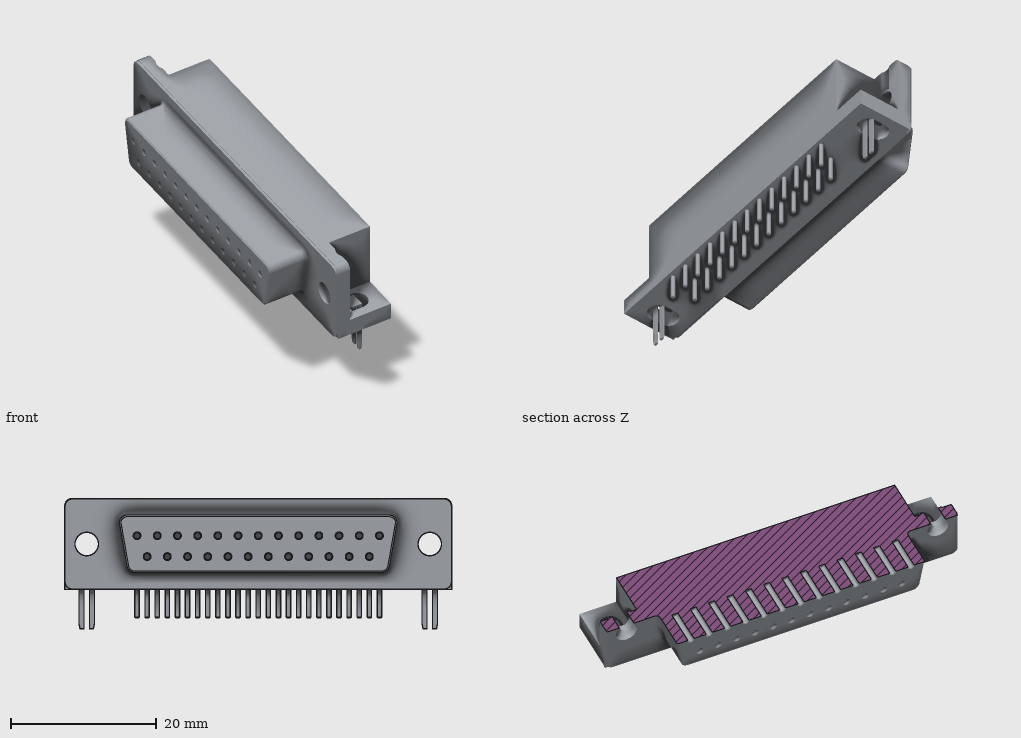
import cadquery as cq
import math

LENGTH = 53.1
HEIGHT = 12.5
FLANGE_DEPTH = 2.3
PLATE_DEPTH = 0.35
PLATE_INSET = 0.08
CORNER_RADIUS = 1.0

BODY_BACK = 8.85
BODY_LENGTH = 42.05
FOOT_HEIGHT = 2.6

MOUNT_X = 23.5
MOUNT_Z = HEIGHT / 2
MOUNT_DIAMETER = 3.2
SLOT_WIDTH = 3.2
SLOT_FRONT = 2.0
SLOT_BACK = 6.85

SHELL_REACH = 6.1
SHELL_BOTTOM = 2.35
SHELL_TOP = 10.2
SHELL_TOP_HALF = 19.2
SHELL_SIDE_ANGLE = 10.0
SHELL_RADIUS = 1.0
SHELL_BASE_FILLET = 0.6
SHELL_RIM_CHAMFER = 0.2
SELECT_MARGIN = 0.05

UPPER_CONTACTS = 13
UPPER_ROW_LENGTH = 33.25
CONTACT_PITCH = UPPER_ROW_LENGTH / (UPPER_CONTACTS - 1)
LOWER_CONTACTS = UPPER_CONTACTS - 1
UPPER_ROW_Z = 7.4
LOWER_ROW_Z = 4.5
SOCKET_DIAMETER = 0.85
SOCKET_DEPTH = 5.3
SOCKET_CHAMFER = 0.1
PIN_DIAMETER = 0.65
PIN_LENGTH = 3.9
PIN_CHAMFER = 0.1
UPPER_ROW_PIN_Y = 8.05
LOWER_ROW_PIN_Y = 5.35

RING_DIAMETER = 4.0
RING_BACK = 2.45
STRIP_WIDTH = 2.2
STRIP_BACK = 2.65
SHEET = 0.3
SHELF_TOP = 2.8
LEG_BACK = 5.35
LEG_LENGTH = 5.4
LEG_GAP = 0.75
LEG_TAPER_LENGTH = 0.75
LEG_TAPER = 0.15


def block(x_size, y_front, y_back, z_bottom, z_top, x_middle=0.0):
    """Box centred on x_middle, between the given y and z limits."""
    box = cq.Workplane("XY").box(x_size, y_back - y_front, z_top - z_bottom, centered=(True, False, False))
    return box.translate((x_middle, y_front, z_bottom))


def rod(x, z, diameter, y_front, y_back):
    """Cylinder along Y."""
    circle = cq.Workplane("XZ", origin=(x, y_front, z)).circle(diameter / 2)
    return circle.extrude(y_front - y_back)


def contact_places(count):
    """Evenly spaced x positions, centred on x = 0."""
    return [CONTACT_PITCH * (i - (count - 1) / 2) for i in range(count)]


def make_housing():
    """Plastic flange with the block and the two feet behind it."""
    flange = block(LENGTH, PLATE_DEPTH, FLANGE_DEPTH, 0, HEIGHT)
    flange = flange.edges("|Y and >Z").fillet(CORNER_RADIUS)
    body = block(BODY_LENGTH, PLATE_DEPTH, BODY_BACK, 0, HEIGHT)
    feet = block(LENGTH, PLATE_DEPTH, BODY_BACK, 0, FOOT_HEIGHT)
    return flange.union(body).union(feet)


def make_plate():
    """Front plate, set in slightly from the flange outline and rounded at all four corners."""
    plate = block(LENGTH - 2 * PLATE_INSET, 0, PLATE_DEPTH, PLATE_INSET, HEIGHT - PLATE_INSET)
    return plate.edges("|Y").fillet(CORNER_RADIUS - PLATE_INSET)


def add_shell(plate):
    """Add the D-shaped shell, its chamfered rim and the fillet where it meets the plate."""
    slope = math.tan(math.radians(SHELL_SIDE_ANGLE))
    bottom_half = SHELL_TOP_HALF - (SHELL_TOP - SHELL_BOTTOM) * slope
    outline = [
        (-SHELL_TOP_HALF, SHELL_TOP),
        (SHELL_TOP_HALF, SHELL_TOP),
        (bottom_half, SHELL_BOTTOM),
        (-bottom_half, SHELL_BOTTOM),
    ]
    shell = cq.Workplane("XZ").polyline(outline).close().extrude(SHELL_REACH)
    shell = shell.edges("|Y").fillet(SHELL_RADIUS)
    shell = shell.faces("<Y").edges().chamfer(SHELL_RIM_CHAMFER)
    joined = plate.union(shell)
    base_zone = cq.selectors.BoxSelector(
        (-SHELL_TOP_HALF, -SELECT_MARGIN, SHELL_BOTTOM - SELECT_MARGIN),
        (SHELL_TOP_HALF, SELECT_MARGIN, SHELL_TOP + SELECT_MARGIN),
    )
    return joined.edges(base_zone).fillet(SHELL_BASE_FILLET)


def make_slot(x):
    """Vertical slot through a foot; its rounded front end also grooves the flange back up to the top."""
    slot_length = SLOT_BACK - SLOT_FRONT
    middle = (SLOT_FRONT + SLOT_BACK) / 2
    return cq.Workplane("XY").center(x, middle).slot2D(slot_length, SLOT_WIDTH, 90).extrude(HEIGHT)


def make_leg(x, side):
    """Leg on one side of a board lock, with its outer edge tapered at the tip."""
    inner = side * LEG_GAP / 2
    outer = side * STRIP_WIDTH / 2
    outline = [
        (inner, SHELF_TOP),
        (outer, SHELF_TOP),
        (outer, LEG_TAPER_LENGTH - LEG_LENGTH),
        (outer - side * LEG_TAPER, -LEG_LENGTH),
        (inner, -LEG_LENGTH),
    ]
    return cq.Workplane("XZ", origin=(x, LEG_BACK, 0)).polyline(outline).close().extrude(SHEET)


def make_board_lock(x):
    """Ring, a strip bent down from it over the foot, and two legs through the slot."""
    lock = rod(x, MOUNT_Z, RING_DIAMETER, SLOT_FRONT, RING_BACK)
    strip_top = MOUNT_Z - MOUNT_DIAMETER / 2
    shelf_bottom = SHELF_TOP - SHEET
    lock = lock.union(block(STRIP_WIDTH, STRIP_BACK - SHEET, STRIP_BACK, shelf_bottom, strip_top, x))
    lock = lock.union(block(STRIP_WIDTH, STRIP_BACK - SHEET, LEG_BACK, shelf_bottom, SHELF_TOP, x))
    for side in (-1, 1):
        lock = lock.union(make_leg(x, side))
    return lock


def make_socket(x, z):
    """Blind hole in the shell face, widened by a chamfer at its mouth."""
    hole = rod(x, z, SOCKET_DIAMETER, -SHELL_REACH, SOCKET_DEPTH - SHELL_REACH)
    radius = SOCKET_DIAMETER / 2
    mouth = cq.Solid.makeCone(
        radius + SOCKET_CHAMFER,
        radius,
        SOCKET_CHAMFER,
        pnt=cq.Vector(x, -SHELL_REACH, z),
        dir=cq.Vector(0, 1, 0),
    )
    return hole.union(cq.Workplane(mouth))


def make_pin(x, y):
    """Round solder pin with a chamfered tip."""
    pin = cq.Workplane("XY").center(x, y).circle(PIN_DIAMETER / 2).extrude(-PIN_LENGTH)
    return pin.faces("<Z").chamfer(PIN_CHAMFER)


result = make_housing().union(add_shell(make_plate()))

for mount_x in (-MOUNT_X, MOUNT_X):
    result = result.cut(make_slot(mount_x))
    result = result.union(make_board_lock(mount_x))
    result = result.cut(rod(mount_x, MOUNT_Z, MOUNT_DIAMETER, 0, STRIP_BACK))

contact_rows = (
    (UPPER_CONTACTS, UPPER_ROW_Z, UPPER_ROW_PIN_Y),
    (LOWER_CONTACTS, LOWER_ROW_Z, LOWER_ROW_PIN_Y),
)
for count, row_z, pin_y in contact_rows:
    for contact_x in contact_places(count):
        result = result.cut(make_socket(contact_x, row_z))
        result = result.union(make_pin(contact_x, pin_y))